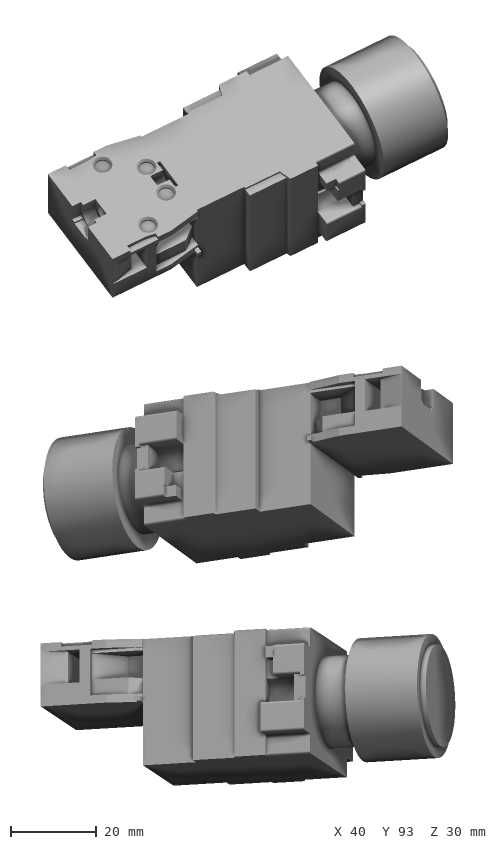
import cadquery as cq


FRONT_Y = 0.0
CARRIER_FRONT_Y = 24.3
ADAPTER_FRONT_Y = 37.2
COLLAR_FRONT_Y = 55.15
COLLAR_REAR_Y = 65.75
BEZEL_FRONT_Y = 74.1
BEZEL_REAR_Y = 91.6
BUTTON_FACE_Y = 93.0

NECK_RADIUS = 10.8
BEZEL_RADIUS = 14.5
BUTTON_RADIUS = 12.0

BODY_HEIGHT = 30.0
HALF_HEIGHT = BODY_HEIGHT / 2
COLLAR_HALF_WIDTH = HALF_HEIGHT
LUG_SPAN = 40.0
LUG_HALF_SPAN = LUG_SPAN / 2
LUG_HALF_HEIGHT = 10.3
COLLAR_FILLET = 0.6
GAP_HALF_HEIGHT = 3.2
REAR_GAP_HALF_HEIGHT = 2.7
REAR_GAP_DEPTH = 1.0
END_WALL_X = 18.9
END_WALL_THICKNESS = 2.8
GROOVE_AXIS_X = 15.6
SHORT_LUG_FRONT_Y = 58.2
TAB_FRONT_Y = 55.9
TAB_RECESS_Y = 58.5
TAB_X = 18.6
TAB_INNER_Z = 7.6

ADAPTER_HALF_WIDTH = 16.1
ADAPTER_NARROW_HALF_WIDTH = 15.0
ADAPTER_TOP_HALF_WIDTH = 12.9
SHOULDER_OUTER_Y = 47.6
SHOULDER_INNER_Y = 46.6
LEDGE_DROP = 0.6

CARRIER_HALF_WIDTH = 12.5

BLOCK_HALF_WIDTH = 14.5
BLOCK_REAR_HALF_WIDTH = 12.9
TAPER_END_Y = 16.0
FOOT_LENGTH = 1.1
FOOT_HEIGHT = 1.1
CORE_X = 12.9

POCKET_FRONT_Y = 12.0
POCKET_FLOOR_Z = 1.95
POCKET_TOP_Z = 13.0
CAVITY_FLOOR_Z = 6.0
CAVITY_TOP_Z = 12.3
CAVITY_X = 6.9
CAVITY_REAR_Y = 19.0
CORE_CHAMFER_Y = 20.9
CORE_CHAMFER_X = 10.2
CEILING_BEVEL = 0.2

WINDOW_FLOOR_Z = 5.2
WINDOW_REAR_Y = 9.4
WINDOW_FRONT_Y = 6.1
WINDOW_EDGE_Y = 0.1

NOTCH_DEPTH = 1.0
NOTCH_REAR_Y = 12.5
NOTCH_BEND_Y = 9.8
NOTCH_FRONT_Y = 4.9
NOTCH_REAR_X = 13.3

DIMPLE_CENTRES = [(4.4, 20.7), (10.2, 12.3)]
DIMPLE_RADIUS = 2.3
DIMPLE_FLOOR_RADIUS = 1.9
DIMPLE_CONE_DEPTH = 0.6
DIMPLE_DEPTH = 0.9

SCREW_Z = 12.6
SCREW_RADIUS = 1.6
HEAD_CHANNEL_RADIUS = 2.5
HEAD_CHANNEL_Z = 12.1
HEAD_CHANNEL_REAR_Y = 5.7
FRONT_SLOT_REAR_Y = 2.3
FRONT_SLOT_HALF_WIDTH = 3.5
FRONT_SLOT_FLOOR_Z = 9.95
FRONT_SLOT_CENTRE_FLOOR_Z = 9.4
REAR_CHANNEL_FRONT_Y = 20.1
REAR_SLOT_FRONT_Y = 23.4
REAR_SLOT_HALF_WIDTH = 4.1
REAR_SLOT_FLOOR_Z = 13.4


def box(x_range, y_range, z_range):
    """Box given by its two limits along each axis."""
    size = [b - a for a, b in (x_range, y_range, z_range)]
    corner = (x_range[0], y_range[0], z_range[0])
    return cq.Workplane("XY").box(*size, centered=False).translate(corner)


def prism(points, z_range):
    """Outline in X and Y extruded between two heights."""
    plane = cq.Workplane("XY").workplane(offset=z_range[0])
    return plane.polyline(points).close().extrude(z_range[1] - z_range[0])


def cylinder_y(x, z, radius, y_range):
    """Cylinder along Y."""
    plane = cq.Workplane("XZ", origin=(0, y_range[0], 0)).center(x, z)
    return plane.circle(radius).extrude(y_range[0] - y_range[1])


def symmetric(right_points):
    """Outline completed by mirroring its right-hand points to negative X."""
    return right_points + [(-x, y) for x, y in reversed(right_points)]


def both_sides(left):
    """The left-hand shape together with its mirror image."""
    return left.union(left.mirror("YZ"))


def make_head():
    """Neck, bezel and button turned about the Y axis."""
    profile = [
        (0, COLLAR_REAR_Y),
        (-NECK_RADIUS, COLLAR_REAR_Y),
        (-NECK_RADIUS, BEZEL_FRONT_Y),
        (-BEZEL_RADIUS, BEZEL_FRONT_Y),
        (-BEZEL_RADIUS, BEZEL_REAR_Y),
        (-BUTTON_RADIUS, BEZEL_REAR_Y),
        (-BUTTON_RADIUS, BUTTON_FACE_Y),
        (0, BUTTON_FACE_Y),
    ]
    return cq.Workplane("XY").polyline(profile).close().revolve(360, (0, 0, 0), (0, 1, 0))


def lug_gap():
    """Space between the two left lugs, ending in a round-bottomed groove."""
    rear_gap_front_y = COLLAR_REAR_Y - REAR_GAP_DEPTH
    groove_y = (COLLAR_FRONT_Y, COLLAR_REAR_Y - END_WALL_THICKNESS)
    gap_z = (-GAP_HALF_HEIGHT, GAP_HALF_HEIGHT)
    rear = box(
        (-LUG_HALF_SPAN, -END_WALL_X),
        (rear_gap_front_y, COLLAR_REAR_Y),
        (-REAR_GAP_HALF_HEIGHT, REAR_GAP_HALF_HEIGHT),
    )
    outer = box((-LUG_HALF_SPAN, -END_WALL_X), (COLLAR_FRONT_Y, rear_gap_front_y), gap_z)
    inner = box((-LUG_HALF_SPAN, -GROOVE_AXIS_X), groove_y, gap_z)
    groove = cylinder_y(-GROOVE_AXIS_X, 0, GAP_HALF_HEIGHT, groove_y)
    return rear.union(outer).union(inner).union(groove)


def short_lug_trim():
    """Material removed in front of the lower left lug, leaving a small tab."""
    below_lug = -LUG_HALF_HEIGHT - COLLAR_FILLET
    lug_x = (-LUG_HALF_SPAN, -COLLAR_HALF_WIDTH)
    short_y = (COLLAR_FRONT_Y, SHORT_LUG_FRONT_Y)
    recess_y = (COLLAR_FRONT_Y, TAB_RECESS_Y)
    above_tab = box(lug_x, short_y, (-TAB_INNER_Z, -GAP_HALF_HEIGHT))
    beside_tab = box((-LUG_HALF_SPAN, -TAB_X), recess_y, (below_lug, -TAB_INNER_Z))
    before_tab = box(lug_x, (COLLAR_FRONT_Y, TAB_FRONT_Y), (below_lug, -TAB_INNER_Z))
    return above_tab.union(beside_tab).union(before_tab)


def make_collar():
    """Square collar with two pairs of side lugs, alike when turned half round about Y."""
    collar_y = (COLLAR_FRONT_Y, COLLAR_REAR_Y)
    block = box((-COLLAR_HALF_WIDTH, COLLAR_HALF_WIDTH), collar_y, (-HALF_HEIGHT, HALF_HEIGHT))
    lugs = box((-LUG_HALF_SPAN, LUG_HALF_SPAN), collar_y, (-LUG_HALF_HEIGHT, LUG_HALF_HEIGHT))
    collar = block.union(lugs).edges("|Y").fillet(COLLAR_FILLET)

    gap = lug_gap()
    collar = collar.cut(gap).cut(gap.mirror("YZ"))
    margin = 0.2
    for side_x in (-LUG_HALF_SPAN, LUG_HALF_SPAN):
        gap_edges = cq.selectors.BoxSelector(
            (side_x - margin, COLLAR_FRONT_Y, -GAP_HALF_HEIGHT - margin),
            (side_x + margin, COLLAR_REAR_Y, GAP_HALF_HEIGHT + margin),
        )
        long_edges = cq.selectors.LengthNthSelector(-1)
        collar = collar.edges("|Y").edges(gap_edges).edges(long_edges).fillet(COLLAR_FILLET)

    trim = short_lug_trim()
    return collar.cut(trim).cut(trim.rotate((0, 0, 0), (0, 1, 0), 180))


def make_adapter():
    """Wide block with sloping shoulders and a shallow ledge along each top front edge."""
    slope = (SHOULDER_OUTER_Y - SHOULDER_INNER_Y) / (ADAPTER_HALF_WIDTH - ADAPTER_TOP_HALF_WIDTH)
    corner_y = SHOULDER_INNER_Y + slope * (ADAPTER_NARROW_HALF_WIDTH - ADAPTER_TOP_HALF_WIDTH)
    body = prism(
        symmetric([
            (ADAPTER_NARROW_HALF_WIDTH, ADAPTER_FRONT_Y),
            (ADAPTER_NARROW_HALF_WIDTH, corner_y),
            (ADAPTER_HALF_WIDTH, SHOULDER_OUTER_Y),
            (ADAPTER_HALF_WIDTH, COLLAR_FRONT_Y),
        ]),
        (-HALF_HEIGHT, HALF_HEIGHT),
    )
    ledge = prism(
        [
            (-ADAPTER_TOP_HALF_WIDTH, ADAPTER_FRONT_Y),
            (-ADAPTER_TOP_HALF_WIDTH, SHOULDER_INNER_Y),
            (-ADAPTER_NARROW_HALF_WIDTH, corner_y),
            (-ADAPTER_NARROW_HALF_WIDTH, ADAPTER_FRONT_Y),
        ],
        (HALF_HEIGHT - LEDGE_DROP, HALF_HEIGHT),
    )
    return body.cut(both_sides(ledge))


def make_carrier():
    """Plain block between the adapter and the contact block."""
    return box(
        (-CARRIER_HALF_WIDTH, CARRIER_HALF_WIDTH),
        (CARRIER_FRONT_Y, ADAPTER_FRONT_Y),
        (-HALF_HEIGHT, HALF_HEIGHT),
    )


def terminal_pocket():
    """Left terminal pocket: a recess around a chamfered core with a deeper cavity above it."""
    recess = prism(
        [
            (-BLOCK_HALF_WIDTH, POCKET_FRONT_Y),
            (-CORE_X, POCKET_FRONT_Y),
            (-CORE_X, CORE_CHAMFER_Y),
            (-CORE_CHAMFER_X, CARRIER_FRONT_Y),
            (-BLOCK_HALF_WIDTH, CARRIER_FRONT_Y),
        ],
        (POCKET_FLOOR_Z, CAVITY_FLOOR_Z),
    )
    cavity = prism(
        [
            (-BLOCK_HALF_WIDTH, POCKET_FRONT_Y),
            (-CORE_X, POCKET_FRONT_Y),
            (-CAVITY_X, CAVITY_REAR_Y),
            (-CAVITY_X, CARRIER_FRONT_Y),
            (-BLOCK_HALF_WIDTH, CARRIER_FRONT_Y),
        ],
        (CAVITY_FLOOR_Z, CAVITY_TOP_Z),
    )
    ceiling = (
        cq.Workplane("XZ", origin=(0, POCKET_FRONT_Y, 0))
        .polyline([
            (-BLOCK_HALF_WIDTH, CAVITY_TOP_Z),
            (-CORE_X, CAVITY_TOP_Z),
            (-CORE_X + CEILING_BEVEL, POCKET_TOP_Z),
            (-BLOCK_HALF_WIDTH, POCKET_TOP_Z),
        ])
        .close()
        .extrude(POCKET_FRONT_Y - CARRIER_FRONT_Y)
    )
    return recess.union(cavity).union(ceiling)


def window():
    """Opening through both sides, with its front wall flaring out to the corners."""
    outline = symmetric([
        (CORE_X, WINDOW_FRONT_Y),
        (BLOCK_HALF_WIDTH, WINDOW_EDGE_Y),
        (BLOCK_HALF_WIDTH, WINDOW_REAR_Y),
    ])
    return prism(outline, (WINDOW_FLOOR_Z, POCKET_TOP_Z))


def edge_notch():
    """Shallow notch in the left top edge."""
    outline = [
        (-BLOCK_HALF_WIDTH, NOTCH_REAR_Y),
        (-NOTCH_REAR_X, NOTCH_REAR_Y),
        (-CORE_X, NOTCH_BEND_Y),
        (-CORE_X, NOTCH_FRONT_Y),
        (-BLOCK_HALF_WIDTH, NOTCH_FRONT_Y),
    ]
    return prism(outline, (HALF_HEIGHT - NOTCH_DEPTH, HALF_HEIGHT))


def dimple(x, y):
    """Dimple in the top face: a conical mouth above a short cylinder."""
    cone = (
        cq.Workplane("XY", origin=(x, y, HALF_HEIGHT))
        .circle(DIMPLE_RADIUS)
        .workplane(offset=-DIMPLE_CONE_DEPTH)
        .circle(DIMPLE_FLOOR_RADIUS)
        .loft(ruled=True)
    )
    cylinder = (
        cq.Workplane("XY", origin=(x, y, HALF_HEIGHT - DIMPLE_DEPTH))
        .circle(DIMPLE_FLOOR_RADIUS)
        .extrude(DIMPLE_DEPTH - DIMPLE_CONE_DEPTH)
    )
    return cone.union(cylinder)


def open_channel(radius, axis_z, y_range):
    """Round-bottomed channel along Y, open to the top."""
    upper = box((-radius, radius), y_range, (axis_z, HALF_HEIGHT))
    return upper.union(cylinder_y(0, axis_z, radius, y_range))


def screw_channel():
    """Stepped screw passage along the top of the contact block."""
    front_y = (FRONT_Y, FRONT_SLOT_REAR_Y)
    rear_y = (REAR_SLOT_FRONT_Y, CARRIER_FRONT_Y)
    bore = cylinder_y(0, SCREW_Z, SCREW_RADIUS, (FRONT_Y, CARRIER_FRONT_Y))
    head = open_channel(HEAD_CHANNEL_RADIUS, HEAD_CHANNEL_Z, (FRONT_Y, HEAD_CHANNEL_REAR_Y))
    front_slot = box(
        (-FRONT_SLOT_HALF_WIDTH, FRONT_SLOT_HALF_WIDTH), front_y, (FRONT_SLOT_FLOOR_Z, HALF_HEIGHT)
    )
    front_centre = box(
        (-HEAD_CHANNEL_RADIUS, HEAD_CHANNEL_RADIUS), front_y, (FRONT_SLOT_CENTRE_FLOOR_Z, HALF_HEIGHT)
    )
    rear = open_channel(SCREW_RADIUS, SCREW_Z, (REAR_CHANNEL_FRONT_Y, CARRIER_FRONT_Y))
    rear_step = open_channel(HEAD_CHANNEL_RADIUS, SCREW_Z, rear_y)
    rear_slot = box(
        (-REAR_SLOT_HALF_WIDTH, REAR_SLOT_HALF_WIDTH), rear_y, (REAR_SLOT_FLOOR_Z, HALF_HEIGHT)
    )
    passage = bore
    for step in (head, front_slot, front_centre, rear, rear_step, rear_slot):
        passage = passage.union(step)
    return passage


def make_contact_block():
    """Tapered contact block with its feet, terminal pockets, window and top details."""
    block = prism(
        symmetric([
            (BLOCK_HALF_WIDTH, FRONT_Y),
            (BLOCK_HALF_WIDTH, TAPER_END_Y),
            (BLOCK_REAR_HALF_WIDTH, CARRIER_FRONT_Y),
        ]),
        (0, HALF_HEIGHT),
    )
    feet = box(
        (-BLOCK_HALF_WIDTH, BLOCK_HALF_WIDTH),
        (CARRIER_FRONT_Y - FOOT_LENGTH, CARRIER_FRONT_Y),
        (0, FOOT_HEIGHT),
    )
    block = block.union(feet)
    block = block.cut(both_sides(edge_notch()))
    pocket = terminal_pocket()
    block = block.cut(pocket).cut(pocket.mirror("YZ"))
    block = block.cut(window()).cut(screw_channel())
    for x, y in DIMPLE_CENTRES:
        for side in (-1, 1):
            block = block.cut(dimple(side * x, y))
    return block


head = make_head()
collar = make_collar()
adapter = make_adapter()
carrier = make_carrier()
contact_block = make_contact_block()

result = cq.Compound.makeCompound([
    *head.solids().vals(),
    *collar.solids().vals(),
    *adapter.solids().vals(),
    *carrier.solids().vals(),
    *contact_block.solids().vals(),
])